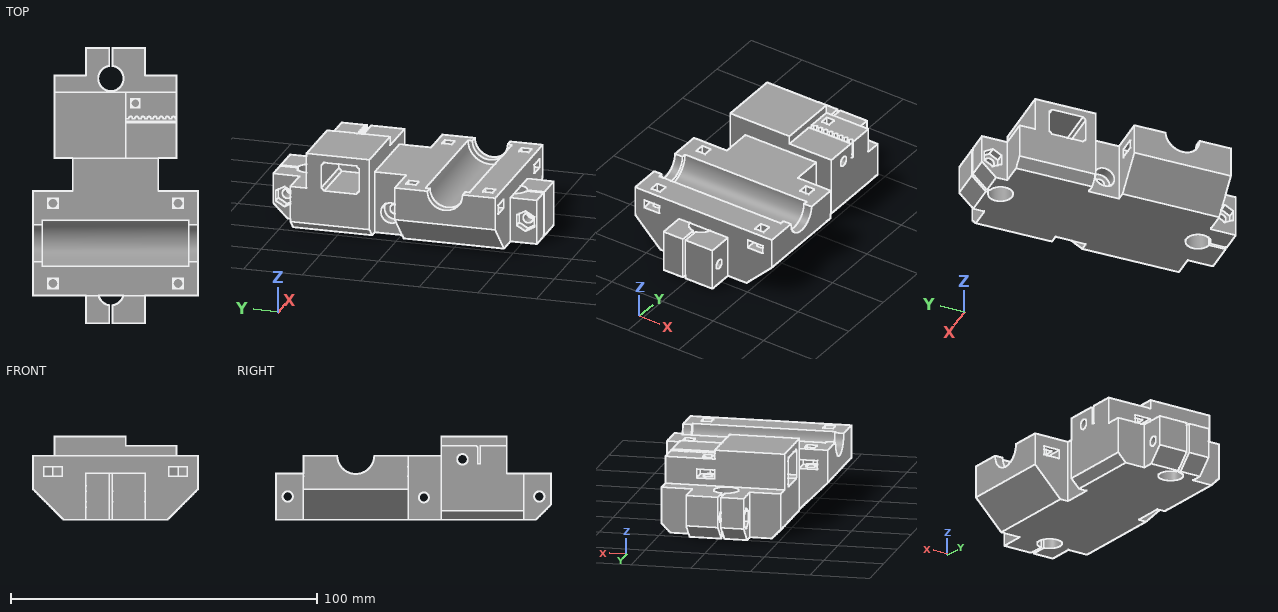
import cadquery as cq
import math

TOTAL_LENGTH = 90.0
CARRIAGE_TOP = 21.0
CLAMP_TOP = 15.2

BASE_WIDTH = 54.0
BASE_START_Y = 9.0
BASE_END_Y = 43.25
BASE_CHAMFER = 10.0
BASE_CENTER_Y = (BASE_START_Y + BASE_END_Y) / 2

NECK_WIDTH = 28.0

BLOCK_WIDTH = 40.0
BLOCK_START_Y = 54.0
BLOCK_END_Y = 75.5
BLOCK_CHAMFER = 3.0
BLOCK_TOP = 27.25
BELT_TOP = 24.25
BELT_STEP_X = 3.4
SHELF_END_Y = TOTAL_LENGTH - BASE_START_Y

BEARING_DIAMETER = 15.0
BEARING_LENGTH = 48.0
BEARING_MOUTH_DIAMETER = 12.0

CLAMP_WIDTH = 19.3
ROD_X = -1.5
ROD_DIAMETER = 8.2
ROD_INSET = 10.0
CLAMP_SLOT_WIDTH = 1.0
CLAMP_BOLT_INSET = 3.9
CLAMP_BOLT_DIAMETER = 3.3
CLAMP_BOLT_Z = CLAMP_TOP / 2
CLAMP_END_CHAMFER = 5.0
CLAMP_NUT_DEPTH = 3.0

NUT_CORNER_DIAMETER = 7.0
NUT_FLAT_WIDTH = NUT_CORNER_DIAMETER * math.cos(math.pi / 6)

BASE_SCREW_DIAMETER = 3.4
BELT_SCREW_DIAMETER = 3.0
SCREW_TAIL_DEPTH = 5.0
NUT_SLOT_HEIGHT = 3.0
NUT_SLOT_TOP_DEPTH = 3.7
BASE_SCREW_X = 20.45
BASE_SCREW_Y_OFFSET = 13.1
BELT_SCREW_X = 6.5
BELT_SCREW_Y = 71.9

NECK_SCREW_DIAMETER = 3.2
NECK_SCREW_HEAD_DIAMETER = 7.0
NECK_SCREW_HEAD_DEPTH = 4.0
NECK_SCREW_Y = 48.4
NECK_SCREW_Z = 7.3

POCKET_CENTER_Y = 64.0
POCKET_CENTER_Z = 19.75
POCKET_LENGTH_Y = 12.9
POCKET_HEIGHT = 9.8
POCKET_DEPTH = 20.0
POCKET_CORNER_BEVEL = 1.0
TENSION_SCREW_DIAMETER = 3.4
TENSION_SCREW_Y = 61.0

BELT_BACK_Y = 66.0
BELT_FRONT_Y = 66.8
BELT_SLOT_DEPTH = 6.0
BELT_LEAD_IN = 0.55
TOOTH_PITCH = 2.0
TOOTH_DEPTH = 0.8
TOOTH_WIDTH = 1.2
TOOTH_COUNT = 8
FIRST_TOOTH_X = 4.95


def box(x_min, x_max, y_min, y_max, z_min, z_max):
    size = (x_max - x_min, y_max - y_min, z_max - z_min)
    return cq.Workplane("XY").box(*size, centered=False).translate((x_min, y_min, z_min))


def centered_block(width, y_min, y_max, height):
    return box(-width / 2, width / 2, y_min, y_max, 0, height)


def bevelled_block(width, y_min, y_max, height, chamfer):
    """Block along Y with both long bottom edges bevelled."""
    block = centered_block(width, y_min, y_max, height)
    return block.faces("<Z").edges("|Y").chamfer(chamfer)


def rod_along_x(diameter, x_start, length, y, z):
    plane = cq.Workplane("YZ", origin=(x_start, y, z))
    return plane.circle(diameter / 2).extrude(length)


def hexagon_along_x(x_start, length, y, z):
    """Hexagonal prism with two corners pointing up and down."""
    plane = cq.Workplane("YZ", origin=(x_start, y, z)).transformed(rotate=(0, 0, 90))
    return plane.polygon(6, NUT_CORNER_DIAMETER).extrude(length)


def make_body():
    body = bevelled_block(BASE_WIDTH, BASE_START_Y, BASE_END_Y, CARRIAGE_TOP, BASE_CHAMFER)
    body = body.union(centered_block(NECK_WIDTH, BASE_END_Y, BLOCK_START_Y, CARRIAGE_TOP))
    body = body.union(bevelled_block(BLOCK_WIDTH, BLOCK_START_Y, SHELF_END_Y, CLAMP_TOP, BLOCK_CHAMFER))
    half = BLOCK_WIDTH / 2
    body = body.union(box(-half, BELT_STEP_X, BLOCK_START_Y, BLOCK_END_Y, CLAMP_TOP, BLOCK_TOP))
    body = body.union(box(BELT_STEP_X, half, BLOCK_START_Y, BLOCK_END_Y, CLAMP_TOP, BELT_TOP))
    near_lug = centered_block(CLAMP_WIDTH, 0, BASE_START_Y, CLAMP_TOP)
    far_lug = centered_block(CLAMP_WIDTH, SHELF_END_Y, TOTAL_LENGTH, CLAMP_TOP)
    far_lug = far_lug.faces(">Y").edges("<Z").chamfer(CLAMP_END_CHAMFER)
    return body.union(near_lug).union(far_lug)


def bearing_bore():
    mouth = rod_along_x(BEARING_MOUTH_DIAMETER, -BASE_WIDTH / 2, BASE_WIDTH, BASE_CENTER_Y, CARRIAGE_TOP)
    seat = rod_along_x(BEARING_DIAMETER, -BEARING_LENGTH / 2, BEARING_LENGTH, BASE_CENTER_Y, CARRIAGE_TOP)
    return mouth.union(seat)


def rod_clamp(end_y, inward):
    """Rod hole, clamping slot, bolt hole and nut recess; inward is the Y sign into the part."""
    rod_y = end_y + inward * ROD_INSET
    bolt_y = end_y + inward * CLAMP_BOLT_INSET
    lug_side = -CLAMP_WIDTH / 2
    cut = cq.Workplane("XY").center(ROD_X, rod_y).circle(ROD_DIAMETER / 2).extrude(CLAMP_TOP)
    slot = cq.Workplane("XY").box(CLAMP_SLOT_WIDTH, ROD_INSET, CLAMP_TOP, centered=(True, True, False))
    cut = cut.union(slot.translate((ROD_X, (end_y + rod_y) / 2, 0)))
    cut = cut.union(rod_along_x(CLAMP_BOLT_DIAMETER, lug_side, CLAMP_WIDTH, bolt_y, CLAMP_BOLT_Z))
    return cut.union(hexagon_along_x(lug_side, CLAMP_NUT_DEPTH, bolt_y, CLAMP_BOLT_Z))


def screw_with_nut_slot(diameter, x, y, top, face_y):
    """Square-topped screw hole over a nut slot that opens on the wall at face_y."""
    slot_top = top - NUT_SLOT_TOP_DEPTH
    slot_bottom = slot_top - NUT_SLOT_HEIGHT
    half_square = diameter / 2
    half_flat = NUT_FLAT_WIDTH / 2
    cut = box(x - half_square, x + half_square, y - half_square, y + half_square, slot_top, top)
    nut_plane = cq.Workplane("XY", origin=(x, y, slot_bottom)).transformed(rotate=(0, 0, 90))
    cut = cut.union(nut_plane.polygon(6, NUT_CORNER_DIAMETER).extrude(NUT_SLOT_HEIGHT))
    y_min, y_max = sorted((y, face_y))
    cut = cut.union(box(x - half_flat, x + half_flat, y_min, y_max, slot_bottom, slot_top))
    tail = cq.Workplane("XY", origin=(x, y, slot_bottom - SCREW_TAIL_DEPTH))
    return cut.union(tail.circle(diameter / 2).extrude(SCREW_TAIL_DEPTH))


def neck_screw():
    side = -NECK_WIDTH / 2
    hole = rod_along_x(NECK_SCREW_DIAMETER, side, NECK_WIDTH, NECK_SCREW_Y, NECK_SCREW_Z)
    head = rod_along_x(NECK_SCREW_HEAD_DIAMETER, side, NECK_SCREW_HEAD_DEPTH, NECK_SCREW_Y, NECK_SCREW_Z)
    return hole.union(head)


def tensioner_pocket():
    side = -BLOCK_WIDTH / 2
    plane = cq.Workplane("YZ", origin=(side, POCKET_CENTER_Y, POCKET_CENTER_Z))
    pocket = plane.rect(POCKET_LENGTH_Y, POCKET_HEIGHT).extrude(POCKET_DEPTH)
    pocket = pocket.edges("|X").chamfer(POCKET_CORNER_BEVEL)
    screw = rod_along_x(TENSION_SCREW_DIAMETER, side, BLOCK_WIDTH, TENSION_SCREW_Y, POCKET_CENTER_Z)
    return pocket.union(screw)


def belt_slot():
    """Belt channel with a bevelled back edge and round-topped tooth grooves in its front wall."""
    end_x = BLOCK_WIDTH / 2
    floor_z = BELT_TOP - BELT_SLOT_DEPTH
    profile = [
        (BELT_BACK_Y, floor_z),
        (BELT_FRONT_Y, floor_z),
        (BELT_FRONT_Y, BELT_TOP),
        (BELT_BACK_Y - BELT_LEAD_IN, BELT_TOP),
        (BELT_BACK_Y, BELT_TOP - BELT_LEAD_IN),
    ]
    channel = cq.Workplane("YZ", origin=(BELT_STEP_X, 0, 0)).polyline(profile).close()
    cut = channel.extrude(end_x - BELT_STEP_X)
    radius = TOOTH_WIDTH / 2
    shoulder_y = BELT_FRONT_Y + TOOTH_DEPTH - radius
    for index in range(TOOTH_COUNT):
        x = FIRST_TOOTH_X + index * TOOTH_PITCH
        tooth = (
            cq.Workplane("XY", origin=(0, 0, floor_z))
            .moveTo(x - radius, BELT_BACK_Y)
            .lineTo(x + radius, BELT_BACK_Y)
            .lineTo(x + radius, shoulder_y)
            .threePointArc((x, shoulder_y + radius), (x - radius, shoulder_y))
            .close()
            .extrude(BELT_SLOT_DEPTH)
        )
        cut = cut.union(tooth)
    return cut


result = make_body()
result = result.cut(bearing_bore())
result = result.cut(rod_clamp(0, 1))
result = result.cut(rod_clamp(TOTAL_LENGTH, -1))
for screw_x in (-BASE_SCREW_X, BASE_SCREW_X):
    for side, wall_y in ((-1, BASE_START_Y), (1, BASE_END_Y)):
        screw_y = BASE_CENTER_Y + side * BASE_SCREW_Y_OFFSET
        base_screw = screw_with_nut_slot(BASE_SCREW_DIAMETER, screw_x, screw_y, CARRIAGE_TOP, wall_y)
        result = result.cut(base_screw)
belt_screw = screw_with_nut_slot(BELT_SCREW_DIAMETER, BELT_SCREW_X, BELT_SCREW_Y, BELT_TOP, BLOCK_END_Y)
result = result.cut(belt_screw)
result = result.cut(neck_screw())
result = result.cut(tensioner_pocket())
result = result.cut(belt_slot())